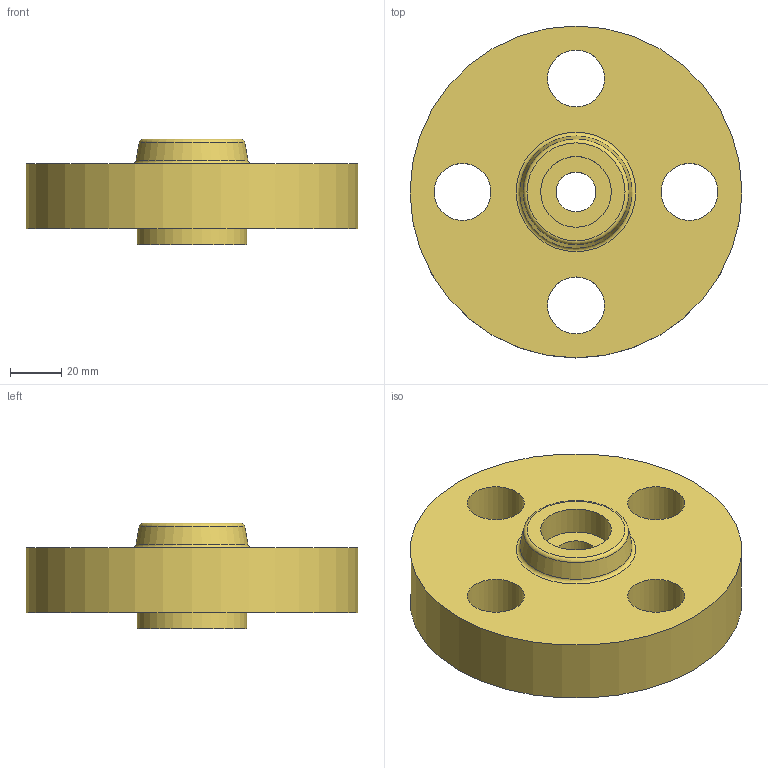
import cadquery as cq
import math

FLANGE_DIAMETER = 130.01
FLANGE_THICKNESS = 25.4

FACE_DIAMETER = 43.0
FACE_HEIGHT = 6.4

OVERALL_HEIGHT = 41.4
HUB_BASE_DIAMETER = 44.3
HUB_TAPER_ANGLE = 10.0
HUB_FILLET_RADIUS = 1.5

BORE_DIAMETER = 15.6
SOCKET_DIAMETER = 27.7
SOCKET_DEPTH = 11.0

BOLT_HOLE_COUNT = 4
BOLT_HOLE_DIAMETER = 22.3
BOLT_CIRCLE_DIAMETER = 88.9

flange_top = FACE_HEIGHT + FLANGE_THICKNESS
hub_height = OVERALL_HEIGHT - flange_top


def make_body():
    """Revolve the half section of the sealing face, disc and tapered hub."""
    flange_radius = FLANGE_DIAMETER / 2
    face_radius = FACE_DIAMETER / 2
    hub_base_radius = HUB_BASE_DIAMETER / 2
    hub_top_radius = hub_base_radius - hub_height * math.tan(math.radians(HUB_TAPER_ANGLE))
    half_section = (
        cq.Workplane("XZ")
        .moveTo(0, 0)
        .lineTo(face_radius, 0)
        .lineTo(face_radius, FACE_HEIGHT)
        .lineTo(flange_radius, FACE_HEIGHT)
        .lineTo(flange_radius, flange_top)
        .lineTo(hub_base_radius, flange_top)
        .lineTo(hub_top_radius, OVERALL_HEIGHT)
        .lineTo(0, OVERALL_HEIGHT)
        .close()
    )
    return half_section.revolve(360, (0, 0, 0), (0, 1, 0))


def round_hub(body):
    """Fillet the rim of the hub and its root on the disc."""
    hub_cone = body.faces("%CONE")
    return hub_cone.edges("%CIRCLE").fillet(HUB_FILLET_RADIUS)


def cut_bore_and_socket(body):
    """Cut the through bore and widen its top end into the pipe socket."""
    return body.faces(">Z").workplane(origin=(0, 0, 0)).cboreHole(
        BORE_DIAMETER, SOCKET_DIAMETER, SOCKET_DEPTH
    )


def cut_bolt_holes(body):
    """Drill the bolt holes through the disc, the first one on the X axis."""
    holes = (
        cq.Workplane("XY")
        .workplane(offset=FACE_HEIGHT)
        .polarArray(BOLT_CIRCLE_DIAMETER / 2, 0, 360, BOLT_HOLE_COUNT)
        .circle(BOLT_HOLE_DIAMETER / 2)
        .extrude(FLANGE_THICKNESS)
    )
    return body.cut(holes)


body = make_body()
body = round_hub(body)
body = cut_bore_and_socket(body)
result = cut_bolt_holes(body)